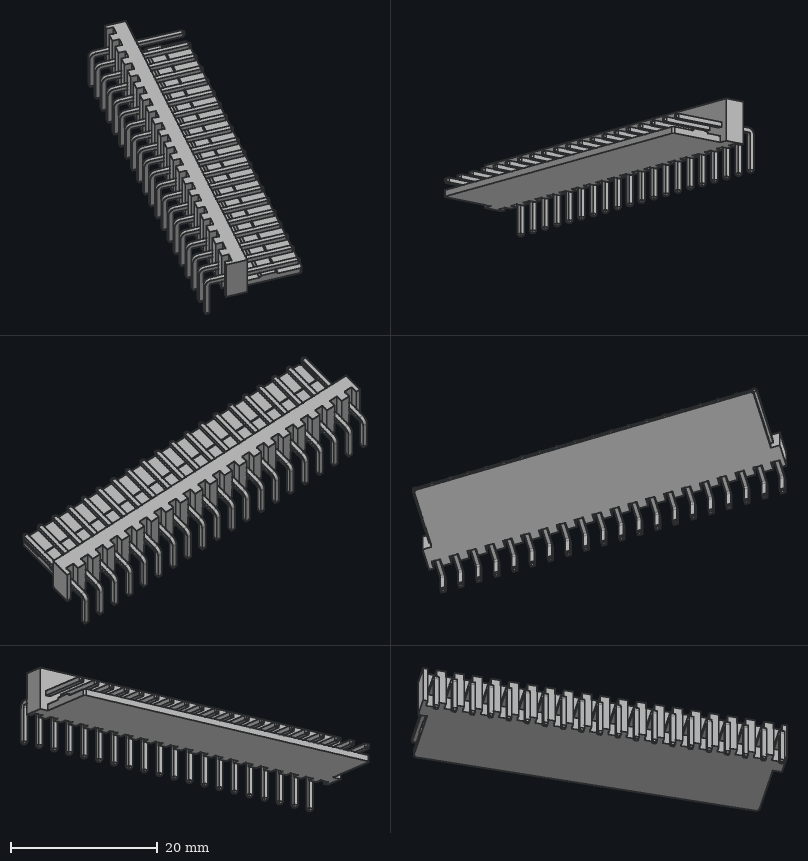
import cadquery as cq
import math


pin_count = 20
pitch = 2.55
row_length = pin_count * pitch
pin_positions = [(i - (pin_count - 1) / 2) * pitch for i in range(pin_count)]

wall_thickness = 3.05
wall_height = 5.95
slot_width = 1.2
slot_depth = 1.0

plate_length = row_length - pitch
plate_reach = 8.4
plate_thickness = 0.9
plate_corner = 0.3

ridge_start = 2.2
ridge_end = 4.9
ridge_height = 0.3
ridge_slope = 0.3

pin_size = 0.65
pin_axis_height = 2.45
pin_rear_reach = 8.0
pin_front_reach = 2.7
pin_drop = 3.35
bend_radius = 0.9
tip_length = 0.3
tip_inset = 0.15


def make_wall():
    """Wall with a full-height slot in its front face around each pin."""
    wall = cq.Workplane("XY").box(
        row_length, wall_thickness, wall_height, centered=(True, False, False)
    ).translate((0, -wall_thickness, 0))
    slots = (
        cq.Workplane("XY")
        .pushPoints([(x, -wall_thickness + slot_depth / 2) for x in pin_positions])
        .rect(slot_width, slot_depth)
        .extrude(wall_height)
    )
    return wall.cut(slots)


def make_plate():
    """Plate behind the wall, with chamfered rear corners and a sloped locking ridge."""
    plate = (
        cq.Workplane("XY")
        .box(plate_length, plate_reach, plate_thickness, centered=(True, False, False))
        .edges("|Z and >Y")
        .chamfer(plate_corner)
    )
    ridge_top = plate_thickness + ridge_height
    ridge = (
        cq.Workplane("YZ")
        .moveTo(ridge_start, plate_thickness)
        .lineTo(ridge_start + ridge_slope, ridge_top)
        .lineTo(ridge_end - ridge_slope, ridge_top)
        .lineTo(ridge_end, plate_thickness)
        .close()
        .extrude(plate_length / 2, both=True)
    )
    return plate.union(ridge)


def add_tip(pin, end):
    """Extend one end face of a pin into a short tip that tapers equally on all four sides."""
    taper = math.degrees(math.atan(tip_inset / tip_length))
    return pin.faces(end).wires().toPending().workplane().extrude(tip_length, taper=taper)


def make_pin():
    """Square pin at X = 0: straight through the wall, then bent down in front of it."""
    top = pin_axis_height + pin_size / 2
    underside = top - pin_size
    front = -wall_thickness - pin_front_reach
    rear = pin_rear_reach - tip_length
    bottom = -pin_drop + tip_length
    bend_y = front + bend_radius
    bend_z = top - bend_radius
    inner_radius = bend_radius - pin_size
    pin = (
        cq.Workplane("YZ")
        .moveTo(rear, top)
        .lineTo(bend_y, top)
        .radiusArc((front, bend_z), -bend_radius)
        .lineTo(front, bottom)
        .lineTo(front + pin_size, bottom)
        .lineTo(front + pin_size, bend_z)
        .radiusArc((bend_y, underside), inner_radius)
        .lineTo(rear, underside)
        .close()
        .extrude(pin_size / 2, both=True)
    )
    return add_tip(add_tip(pin, ">Y"), "<Z")


result = make_wall().union(make_plate())
pin = make_pin()
for x in pin_positions:
    result = result.union(pin.translate((x, 0, 0)))